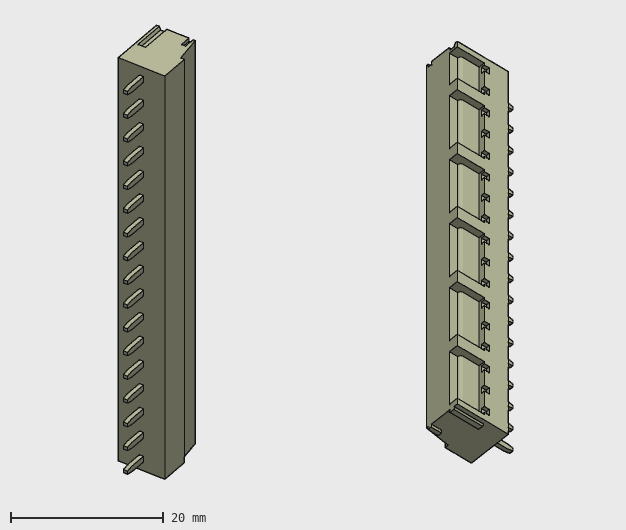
import cadquery as cq


total_length = 65.3
width = 7.4
total_depth = 12.6
pole_count = 17

key_height = 0.5
key_root_inset = 0.2
wide_key_left = 0.45
wide_key_width = 1.2
wide_key_depth = 4.95
narrow_key_left = 5.15
narrow_key_width = 0.65
narrow_key_depth = 1.75

pin_length = 3.7
pin_width = 0.65
pin_height = 0.9
pin_tip_height = 0.5
pin_taper_length = 1.0

housing_length = total_length - key_height
housing_depth = total_depth - pin_length
pitch = housing_length / pole_count
right_step_depth = 4.3
right_step_x = 6.8
back_right_x = 6.15

rib_thickness = 2.0
panel_start = 4.7
panel_recess = 1.05
round_start = 1.95
round_radius = 0.5
back_recess = panel_recess + round_radius
poles_per_panel = 3
top_panel_poles = 2

pocket_width = 0.85
pocket_height = 1.05
pocket_depth = 0.6


def pole_height(index):
    """Z of the middle of a pole, counted from the bottom."""
    return (index + 0.5) * pitch


def make_housing():
    step_y = housing_depth - right_step_depth
    outline = [
        (0, 0),
        (width, 0),
        (width, step_y),
        (right_step_x, step_y),
        (back_right_x, housing_depth),
        (0, housing_depth),
    ]
    return cq.Workplane("XY").polyline(outline).close().extrude(housing_length)


def make_panel_recess(bottom_pole, poles):
    """Recess over a group of poles, leaving half a rib at each end.

    Its floor rounds over to a deeper strip along the back.
    """
    panel_start_y = housing_depth - panel_start
    round_start_y = housing_depth - round_start
    outline = (
        cq.Workplane("XY")
        .moveTo(0, panel_start_y)
        .lineTo(panel_recess, panel_start_y)
        .lineTo(panel_recess, round_start_y)
        .tangentArcPoint((back_recess, round_start_y + round_radius), relative=False)
        .lineTo(back_recess, housing_depth)
        .lineTo(0, housing_depth)
        .close()
    )
    recess = outline.extrude(poles * pitch - rib_thickness)
    return recess.translate((0, 0, bottom_pole * pitch + rib_thickness / 2))


def make_pocket(index):
    pocket = cq.Workplane("XY").box(pocket_depth, pocket_width, pocket_height, centered=(False, False, True))
    return pocket.translate((0, housing_depth - panel_start - pocket_width, pole_height(index)))


def make_pin(index):
    """Flat pin, rooted in the front face and tapered in height at its tip."""
    taper_y = pin_taper_length - pin_length
    outline = [
        (0, -pin_height / 2),
        (taper_y, -pin_height / 2),
        (-pin_length, -pin_tip_height / 2),
        (-pin_length, pin_tip_height / 2),
        (taper_y, pin_height / 2),
        (0, pin_height / 2),
    ]
    pin = cq.Workplane("YZ").polyline(outline).close().extrude(pin_width)
    return pin.translate(((width - pin_width) / 2, 0, pole_height(index)))


def extrude_from_back(outline, depth):
    """Bar with an XZ outline, running forward from the back face."""
    return cq.Workplane("XZ", origin=(0, housing_depth, 0)).polyline(outline).close().extrude(depth)


def make_wide_key():
    """Six-sided key, widest at half its height."""
    right = wide_key_left + wide_key_width
    outline = [
        (wide_key_left + key_root_inset, 0),
        (wide_key_left, -key_height / 2),
        (wide_key_left + key_root_inset, -key_height),
        (right - key_root_inset, -key_height),
        (right, -key_height / 2),
        (right - key_root_inset, 0),
    ]
    return extrude_from_back(outline, wide_key_depth)


def make_wide_slot():
    """Slot with sloping sides, widest at the top face."""
    right = wide_key_left + wide_key_width
    floor_z = housing_length - key_height
    outline = [
        (wide_key_left, housing_length),
        (wide_key_left + key_root_inset, floor_z),
        (right - key_root_inset, floor_z),
        (right, housing_length),
    ]
    return extrude_from_back(outline, wide_key_depth)


def make_narrow_bar(bottom_z):
    """Rectangular bar used both as the narrow key and as its slot."""
    bar = cq.Workplane("XY").box(narrow_key_width, narrow_key_depth, key_height, centered=False)
    return bar.translate((narrow_key_left, housing_depth - narrow_key_depth, bottom_z))


result = make_housing()

top_panel_start = pole_count - top_panel_poles
for bottom_pole in range(0, top_panel_start, poles_per_panel):
    result = result.cut(make_panel_recess(bottom_pole, poles_per_panel))
result = result.cut(make_panel_recess(top_panel_start, top_panel_poles))

for pole in range(pole_count):
    result = result.cut(make_pocket(pole))
    result = result.union(make_pin(pole))

result = result.cut(make_wide_slot())
result = result.cut(make_narrow_bar(housing_length - key_height))
result = result.union(make_wide_key())
result = result.union(make_narrow_bar(-key_height))